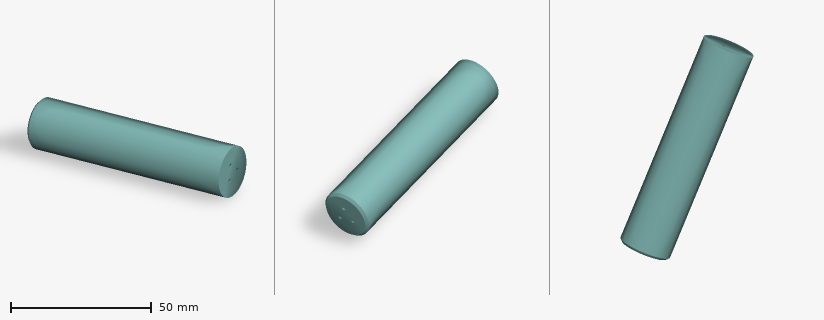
import cadquery as cq
import math

length = 80.0
diameter = 19.0
chamfer = 1.0

hole_count = 3
hole_diameter = 1.4
hole_circle_radius = 3.4
first_hole_angle = 15.0
helix_angle = 30.0

lead = math.pi * diameter / math.tan(math.radians(helix_angle))
twist_angle = 360.0 * length / lead


def twisted_hole(angle_deg):
    """Through hole that winds around the bar axis like a coolant channel."""
    angle = math.radians(angle_deg)
    y = hole_circle_radius * math.sin(angle)
    z = hole_circle_radius * math.cos(angle)
    section = cq.Workplane("YZ").pushPoints([(y, z)]).circle(hole_diameter / 2)
    return section.twistExtrude(length, twist_angle)


result = cq.Workplane("YZ").circle(diameter / 2).extrude(length)
result = result.faces("<X").chamfer(chamfer)

for index in range(hole_count):
    result = result.cut(twisted_hole(first_hole_angle + index * 360.0 / hole_count))